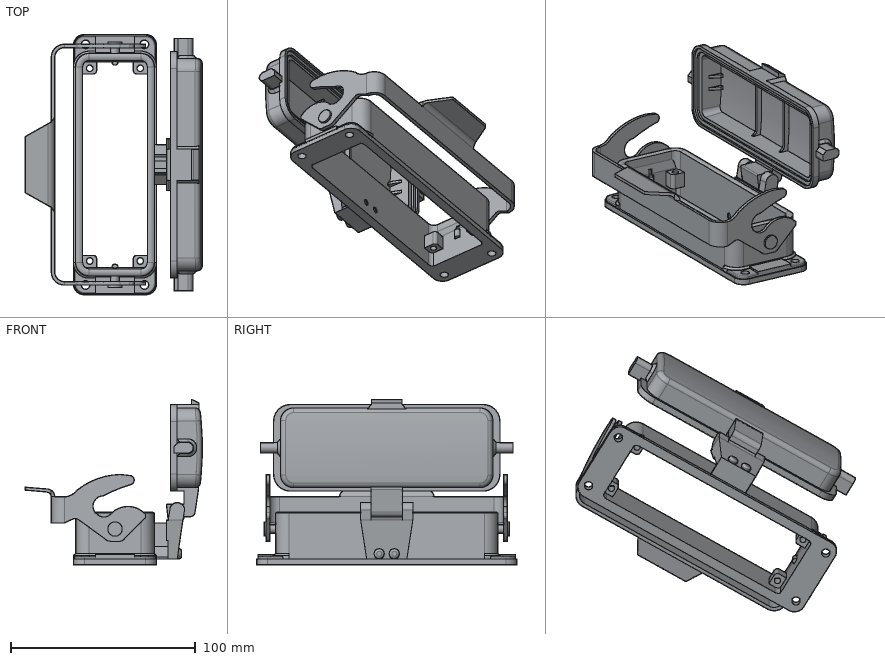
import cadquery as cq
PLATE_X, PLATE_Y, PLATE_TOP = 45.2, 141.1, 3.1
PLATE_RADIUS = 5.9
TIER_INSET, TIER_TOP, TIER_FILLET = 0.7, 4.8, 0.5
PAD_X, PAD_TOP = 21.2, 5.8
FOOT_HOLE_D, FOOT_HOLE_X, FOOT_HOLE_Y = 4.5, 16.0, 65.2
BODY_X, BODY_Y, BODY_TOP, BODY_RADIUS = 42.6, 120.5, 28.1, 7.3
WALL = 3.8
OPENING_X, OPENING_Y, OPENING_RADIUS = BODY_X - 2 * WALL, BODY_Y - 2 * WALL, BODY_RADIUS - WALL
RIM_RISE = 0.7
LINER_THICK, LINER_LOW, LINER_HIGH = 0.8, 18.0, 23.3
LINER_Y = OPENING_Y / 2 - LINER_THICK
FLARE, FLARE_TOP, COLLAR_LIP = 1.3, 6.2, 0.1
LUG_X, LUG_Y, LUG_BOTTOM, LUG_TOP, LUG_RADIUS = 7.6, 6.5, 9.0, 17.4, 2.0
LUG_HOLE_D, LUG_HOLE_X, LUG_HOLE_Y = 3.4, 13.7, 52.2
STUD_D, STUD_BOTTOM, STUD_TOP = 3.4, 12.0, 17.0
SLOT_WIDTH, SLOT_TOP, SLOT_DEPTH = 2.0, 20.5, 1.1

PIVOT_Z, PIVOT_D, PIVOT_HEAD_D, PIVOT_HEAD_HEIGHT = 19.5, 4.8, 7.8, 1.1
LEVER_SHEET = 2.0
LEVER_HALF_Y = 65.3
LEVER_FRONT_X = -34.5
LEVER_BEND_RADIUS = 7.2
STRIP_BOTTOM, STRIP_TOP = 22.7, 37.0
GRIP_TIP_X, GRIP_TIP_Z, GRIP_SHEET = -48.7, 42.2, 1.7
GRIP_TIP_HALF_Y, GRIP_SIDE_HALF_Y, GRIP_ROOT_HALF_Y, GRIP_CORNER = 15.2, 23.1, 25.7, 0.8

HINGE_X = 28.8
HINGE_HALF_Y, HINGE_FOOT_HALF_Y = 14.1, 10.9
HINGE_FOOT_DEPTH, HINGE_SHOULDER_X = 5.0, 36.8
HINGE_SHOULDER_Z, HINGE_TOP = 24.3, 33.9
KNUCKLE_INNER_Y = 8.5
KNUCKLE_X, KNUCKLE_R = 33.7, 4.0
BRIDGE_HALF_Y, BRIDGE_TOP, BRIDGE_TOP_HALF_Y = 5.5, 22.9, 4.2
BRIDGE_FLARE_TOP, BRIDGE_FLARE_BOTTOM, BRIDGE_GAP = 9.9, 4.4, 4.0
FACING_X, FACING_BOTTOM = 27.8, 13.3
SCREW_Y, SCREW_HEAD_Z, SCREW_HEAD_D, SCREW_END_X, SCREW_FILLET = 4.1, 6.0, 5.5, 36.1, 1.4
DIMPLE_D, DIMPLE_Z, DIMPLE_DEPTH = 3.2, 7.0, 0.7

COVER_X, COVER_Z = 30.0, 63.5
FLANGE_THICK, FLANGE_Y, FLANGE_Z, FLANGE_RADIUS = 3.7, 122.8, 47.0, 9.2
SHELL_Y, SHELL_Z, SHELL_RADIUS = 115.1, 43.2, 7.0
DOME_X, DOME_DROP = 47.4, 1.7
SHELL_EDGE_FILLET = 2.8
FLOOR_THICK = 3.1
CAVITY_Y, CAVITY_Z, CAVITY_RADIUS, CAVITY_DRAFT = 109.8, 36.1, 3.5, 3.0
SEAT_STEPS = ((1.5, 1.1), (3.7, 2.3))
RIB_Y, RIB_THICK, RIB_HEIGHT, RIB_LEG = 13.8, 1.5, 2.1, 5.6
RIB_SWEEP, RIB_CURVE_X, RIB_CURVE_Z = 4.2, 1.3, 2.0
WEDGE_Z, WEDGE_THICK, WEDGE_REACH, WEDGE_LENGTH, WEDGE_FLAT = 3.5, 1.7, 2.8, 8.5, 1.4
PEG_END_Y, PEG_Z, PEG_FRONT_X, PEG_BACK_X, PEG_CHAMFER = 68.5, 63.5, 32.0, 42.3, 2.1
PEG_R, PEG_BOSS_R, PEG_BOSS_END_Y = 2.8, 5.1, 59.3
TAB_HALF_Y, TAB_X, TAB_BACK_X, TAB_TOP = 8.3, 41.3, 45.6, 89.7
TAB_CREST, TAB_CREST_DROP, TAB_BACK_Z = 1.3, 0.4, 87.8
BAND_HALF_Y, BAND_SLOPE = 8.5, 1.8
ARM_X, ARM_BOTTOM, ARM_ROOT_Z = 37.4, 26.1, 42.2
BLOCK_TOP, BLOCK_BACK_Z, BLOCK_FILLET = 33.0, 26.8, 0.7
OVERLAP = 0.5

FLANGE_TOP = COVER_Z + FLANGE_Z / 2
FLANGE_BOTTOM = COVER_Z - FLANGE_Z / 2
SHELL_START = COVER_X + FLANGE_THICK
LEVER_INNER_Y = LEVER_HALF_Y - LEVER_SHEET
BEND_END_X = LEVER_FRONT_X + LEVER_BEND_RADIUS


def box(x0, x1, y0, y1, z0, z1):
    return cq.Workplane("XY").box(x1 - x0, y1 - y0, z1 - z0, centered=False).translate((x0, y0, z0))


def upright_block(length, width, radius, z0, z1):
    """Rounded rectangle centred on the Z axis, from z0 to z1."""
    return box(-length / 2, length / 2, -width / 2, width / 2, z0, z1).edges("|Z").fillet(radius)


def cover_block(width, height, radius, x0, x1):
    """Rounded rectangle about the cover centre line, from x0 to x1."""
    low, high = COVER_Z - height / 2, COVER_Z + height / 2
    return box(x0, x1, -width / 2, width / 2, low, high).edges("|X").fillet(radius)


def side_plate(sketch, y0, y1):
    """Extrude an XZ outline from y0 to y1."""
    return sketch.extrude(-(y1 - y0)).translate((0, y0, 0))


def both_ends(shape):
    return shape.union(shape.mirror("XZ"))


def make_rim():
    """Shallow arch swept along the middle of the wall top."""
    mid_x = (BODY_X - WALL) / 2
    path_width, path_length = BODY_X - WALL, BODY_Y - WALL
    path_block = upright_block(path_width, path_length, BODY_RADIUS - WALL / 2, 0, BODY_TOP)
    path = cq.Workplane(path_block.faces(">Z").wires().val())
    arch = (
        cq.Workplane("XZ")
        .moveTo(mid_x - WALL / 2, BODY_TOP)
        .threePointArc((mid_x, BODY_TOP + RIM_RISE), (mid_x + WALL / 2, BODY_TOP))
        .close()
    )
    return arch.sweep(path)


def make_liners():
    """Thicker lower stretch of each end wall with a sloped top."""
    wall_y = OPENING_Y / 2
    outline = (
        cq.Workplane("YZ", origin=(-OPENING_X / 2, 0, 0))
        .moveTo(wall_y + OVERLAP, 0)
        .lineTo(LINER_Y, 0)
        .lineTo(LINER_Y, LINER_LOW)
        .lineTo(wall_y, LINER_HIGH)
        .lineTo(wall_y + OVERLAP, LINER_HIGH)
        .close()
    )
    return both_ends(outline.extrude(OPENING_X))


def make_housing():
    tier_x, tier_y = PLATE_X - 2 * TIER_INSET, PLATE_Y - 2 * TIER_INSET
    body = upright_block(PLATE_X, PLATE_Y, PLATE_RADIUS, 0, PLATE_TOP)
    end_zones = both_ends(box(-PLATE_X / 2, PLATE_X / 2, BODY_Y / 2 - BODY_RADIUS, PLATE_Y / 2, 0, BODY_TOP))
    tier = upright_block(tier_x, tier_y, PLATE_RADIUS - TIER_INSET, 0, TIER_TOP)
    tier = tier.faces(">Z").edges().fillet(TIER_FILLET)
    body = body.union(upright_block(BODY_X, BODY_Y, BODY_RADIUS, 0, BODY_TOP))
    body = body.union(both_ends(box(-PAD_X / 2, PAD_X / 2, BODY_Y / 2 - 1.4, tier_y / 2, PLATE_TOP, PAD_TOP)))

    collar_x, collar_y = BODY_X + 2 * FLARE, BODY_Y + 2 * FLARE
    collar = upright_block(collar_x, collar_y, BODY_RADIUS + FLARE, PLATE_TOP, FLARE_TOP)
    collar = collar.faces(">Z").chamfer(FLARE - COLLAR_LIP)
    body = body.union(tier.union(collar).intersect(end_zones))

    body = body.cut(upright_block(OPENING_X, OPENING_Y, OPENING_RADIUS, 0, BODY_TOP))
    body = body.union(make_rim()).union(make_liners())
    holes = cq.Workplane("XY").rect(2 * FOOT_HOLE_X, 2 * FOOT_HOLE_Y, forConstruction=True).vertices()
    return body.cut(holes.circle(FOOT_HOLE_D / 2).extrude(BODY_TOP))


def make_lugs():
    """Screw lugs in the four inside corners and a stud in each end wall."""
    inner_x, inner_y = OPENING_X / 2, LINER_Y
    lug = box(inner_x - LUG_X, inner_x + OVERLAP, inner_y - LUG_Y, inner_y + OVERLAP, LUG_BOTTOM, LUG_TOP)
    lug = lug.edges("|Z and <X and <Y").fillet(LUG_RADIUS)
    hole = cq.Workplane("XY").center(LUG_HOLE_X, LUG_HOLE_Y).circle(LUG_HOLE_D / 2).extrude(BODY_TOP)
    lug = lug.cut(hole)
    pair = lug.union(lug.mirror("YZ"))
    stud = cq.Workplane("XY", origin=(0, inner_y, STUD_BOTTOM)).circle(STUD_D / 2)
    return both_ends(pair.union(stud.extrude(STUD_TOP - STUD_BOTTOM)))


def make_slots():
    inner_y = LINER_Y
    slot = box(-SLOT_WIDTH / 2, SLOT_WIDTH / 2, inner_y, inner_y + SLOT_DEPTH, STUD_TOP, SLOT_TOP)
    return both_ends(slot)


def make_lever():
    outline = (
        cq.Workplane("XZ")
        .moveTo(BEND_END_X, STRIP_TOP)
        .threePointArc((-24.0, 37.8), (-20.5, 40.6))
        .threePointArc((-9.7, 46.7), (2.8, 49.1))
        .lineTo(7.9, 48.5)
        .threePointArc((10.5, 45.7), (8.5, 43.5))
        .threePointArc((0.8, 40.8), (-6.3, 37.4))
        .threePointArc((-11.9, 31.7), (-9.3, 27.2))
        .threePointArc((-6.0, 26.0), (-2.8, 27.1))
        .threePointArc((7.8, 31.7), (15.5, 28.5))
        .threePointArc((16.6, 26.7), (15.8, 25.0))
        .lineTo(5.5, 14.7)
        .threePointArc((4.1, 13.3), (2.3, 12.8))
        .lineTo(-2.5, 12.8)
        .threePointArc((-4.2, 13.3), (-5.9, 14.5))
        .lineTo(-19.8, 24.5)
        .threePointArc((-21.2, 25.1), (-22.9, 24.8))
        .lineTo(BEND_END_X, STRIP_BOTTOM)
        .close()
    )
    lever = both_ends(side_plate(outline, LEVER_INNER_Y, LEVER_HALF_Y))

    def hoop(inset):
        half_y = LEVER_HALF_Y - inset
        ring = box(LEVER_FRONT_X + inset, 0, -half_y, half_y, STRIP_BOTTOM, STRIP_TOP)
        return ring.edges("|Z and <X").fillet(LEVER_BEND_RADIUS - inset)

    front = box(LEVER_FRONT_X, BEND_END_X, -LEVER_HALF_Y, LEVER_HALF_Y, STRIP_BOTTOM, STRIP_TOP)
    lever = lever.union(hoop(0).cut(hoop(LEVER_SHEET)).intersect(front))

    inner_y = BODY_Y / 2 - OVERLAP
    head_y = LEVER_HALF_Y + PIVOT_HEAD_HEIGHT
    circle = cq.Workplane("XZ").center(0, PIVOT_Z)
    pivot = side_plate(circle.circle(PIVOT_D / 2), inner_y, LEVER_HALF_Y)
    head = side_plate(circle.circle(PIVOT_HEAD_D / 2), LEVER_INNER_Y, head_y)
    return lever.union(both_ends(pivot.union(head)))


def make_grip():
    """Finger tab bent forward from the top of the lever strip, trimmed to a trapezoid."""
    back_x = LEVER_FRONT_X + LEVER_SHEET
    profile = (
        cq.Workplane("XZ")
        .moveTo(GRIP_TIP_X, GRIP_TIP_Z)
        .lineTo(-36.4, 41.2)
        .threePointArc((-33.7, 39.8), (back_x, STRIP_TOP))
        .lineTo(back_x, STRIP_TOP - OVERLAP)
        .lineTo(LEVER_FRONT_X, STRIP_TOP - OVERLAP)
        .lineTo(LEVER_FRONT_X, STRIP_TOP)
        .threePointArc((-35.4, 38.8), (-37.1, 39.5))
        .lineTo(GRIP_TIP_X, GRIP_TIP_Z - GRIP_SHEET)
        .close()
    )
    tab = side_plate(profile, -GRIP_ROOT_HALF_Y, GRIP_ROOT_HALF_Y)
    plan = (
        cq.Workplane("XY")
        .moveTo(back_x, -GRIP_ROOT_HALF_Y)
        .lineTo(LEVER_FRONT_X, -GRIP_SIDE_HALF_Y)
        .lineTo(GRIP_TIP_X, -GRIP_TIP_HALF_Y)
        .lineTo(GRIP_TIP_X, GRIP_TIP_HALF_Y)
        .lineTo(LEVER_FRONT_X, GRIP_SIDE_HALF_Y)
        .lineTo(back_x, GRIP_ROOT_HALF_Y)
        .close()
        .extrude(GRIP_TIP_Z)
    )
    return tab.intersect(plan.edges("|Z and <X").fillet(GRIP_CORNER))


def make_bracket():
    """Upright behind the body that carries the two hinge knuckles."""
    foot_x = HINGE_X + HINGE_FOOT_DEPTH
    plate = (
        cq.Workplane("XZ")
        .polyline([
            (HINGE_X, PLATE_TOP), (foot_x, PLATE_TOP),
            (HINGE_SHOULDER_X, HINGE_SHOULDER_Z), (HINGE_X, HINGE_SHOULDER_Z),
        ])
        .close()
    )
    plate = side_plate(plate, -HINGE_HALF_Y, HINGE_HALF_Y)
    facing = box(FACING_X, HINGE_X, -HINGE_HALF_Y, HINGE_HALF_Y, FACING_BOTTOM, HINGE_SHOULDER_Z)
    taper = (
        cq.Workplane("YZ")
        .polyline([
            (-HINGE_FOOT_HALF_Y, PLATE_TOP), (HINGE_FOOT_HALF_Y, PLATE_TOP),
            (HINGE_HALF_Y, HINGE_SHOULDER_Z), (-HINGE_HALF_Y, HINGE_SHOULDER_Z),
        ])
        .close()
        .extrude(DOME_X)
    )
    bracket = plate.union(facing).intersect(taper)

    knuckle_z = HINGE_TOP - KNUCKLE_R
    knuckle = (
        cq.Workplane("XZ")
        .moveTo(HINGE_X, HINGE_SHOULDER_Z)
        .lineTo(KNUCKLE_X - KNUCKLE_R, knuckle_z)
        .threePointArc((KNUCKLE_X, HINGE_TOP), (KNUCKLE_X + KNUCKLE_R, knuckle_z))
        .lineTo(HINGE_SHOULDER_X, HINGE_SHOULDER_Z)
        .close()
    )
    bracket = bracket.union(both_ends(side_plate(knuckle, KNUCKLE_INNER_Y, HINGE_HALF_Y)))

    web = (
        cq.Workplane("YZ", origin=(BODY_X / 2 - OVERLAP, 0, 0))
        .moveTo(-HINGE_FOOT_HALF_Y, PLATE_TOP)
        .lineTo(-HINGE_FOOT_HALF_Y, BRIDGE_FLARE_BOTTOM)
        .lineTo(-BRIDGE_HALF_Y, BRIDGE_FLARE_TOP)
        .lineTo(-BRIDGE_TOP_HALF_Y, BRIDGE_TOP)
        .lineTo(BRIDGE_TOP_HALF_Y, BRIDGE_TOP)
        .lineTo(BRIDGE_HALF_Y, BRIDGE_FLARE_TOP)
        .lineTo(HINGE_FOOT_HALF_Y, BRIDGE_FLARE_BOTTOM)
        .lineTo(HINGE_FOOT_HALF_Y, PLATE_TOP)
        .close()
        .extrude(HINGE_X - BODY_X / 2 + 2 * OVERLAP)
    )
    gap = box(BODY_X / 2 - OVERLAP, FACING_X, -BRIDGE_GAP / 2, BRIDGE_GAP / 2, BRIDGE_FLARE_TOP, BRIDGE_TOP)
    bracket = bracket.union(web.cut(gap))

    screw_points = [(-SCREW_Y, SCREW_HEAD_Z), (SCREW_Y, SCREW_HEAD_Z)]
    heads = cq.Workplane("YZ", origin=(HINGE_X, 0, 0)).pushPoints(screw_points)
    heads = heads.circle(SCREW_HEAD_D / 2).extrude(SCREW_END_X - HINGE_X)
    heads = heads.faces(">X").edges().fillet(SCREW_FILLET)
    return bracket.union(heads)


def dome(crown_x):
    """Solid filling everything in front of the crowned back surface."""
    half = FLANGE_Z / 2
    profile = (
        cq.Workplane("XZ")
        .moveTo(COVER_X, COVER_Z - half)
        .lineTo(crown_x - DOME_DROP, COVER_Z - half)
        .threePointArc((crown_x, COVER_Z), (crown_x - DOME_DROP, COVER_Z + half))
        .lineTo(COVER_X, COVER_Z + half)
        .close()
    )
    return side_plate(profile, -FLANGE_Y / 2, FLANGE_Y / 2)


def make_cover():
    shell = cover_block(SHELL_Y, SHELL_Z, SHELL_RADIUS, COVER_X, DOME_X + 1.4).intersect(dome(DOME_X))
    shell = shell.faces(">X").edges().fillet(SHELL_EDGE_FILLET)
    shell = shell.union(cover_block(FLANGE_Y, FLANGE_Z, FLANGE_RADIUS, COVER_X, SHELL_START))

    shell_top = COVER_Z + SHELL_Z / 2
    band = (
        cq.Workplane("YZ", origin=(COVER_X + FLANGE_THICK / 2, 0, 0))
        .polyline([
            (-BAND_HALF_Y - BAND_SLOPE, shell_top - OVERLAP), (BAND_HALF_Y + BAND_SLOPE, shell_top - OVERLAP),
            (BAND_HALF_Y, FLANGE_TOP), (-BAND_HALF_Y, FLANGE_TOP),
        ])
        .close()
        .extrude(TAB_BACK_X - COVER_X - FLANGE_THICK / 2)
    )
    tab = (
        cq.Workplane("XZ")
        .moveTo(TAB_X, shell_top - OVERLAP)
        .lineTo(TAB_X, TAB_TOP)
        .lineTo(TAB_X + TAB_CREST, TAB_TOP - TAB_CREST_DROP)
        .lineTo(TAB_BACK_X, TAB_BACK_Z)
        .lineTo(TAB_BACK_X, shell_top - OVERLAP)
        .close()
    )
    lower_band = box(
        SHELL_START - OVERLAP, ARM_X + OVERLAP, -BAND_HALF_Y, BAND_HALF_Y, FLANGE_BOTTOM, ARM_ROOT_Z
    )
    cover = shell.union(band).union(lower_band).union(side_plate(tab, -TAB_HALF_Y, TAB_HALF_Y))

    for inset, depth in SEAT_STEPS:
        width, height = FLANGE_Y - 2 * inset, FLANGE_Z - 2 * inset
        cover = cover.cut(cover_block(width, height, FLANGE_RADIUS - inset, COVER_X, COVER_X + depth))
    mouth = cq.Sketch().rect(CAVITY_Y, CAVITY_Z).vertices().fillet(CAVITY_RADIUS)
    cavity = cq.Workplane("YZ", origin=(COVER_X, 0, COVER_Z)).placeSketch(mouth)
    cavity = cavity.extrude(DOME_X - COVER_X, taper=CAVITY_DRAFT)
    return cover.cut(cavity.intersect(dome(DOME_X - FLOOR_THICK)))


def make_cover_ribs():
    floor_x = DOME_X - FLOOR_THICK
    buried_x = floor_x + FLOOR_THICK / 4 - DOME_DROP / 2
    half = CAVITY_Z / 2 + OVERLAP
    rib_x = floor_x - DOME_DROP / 2 - RIB_HEIGHT
    low, high = COVER_Z - half, COVER_Z + half
    outline = (
        cq.Workplane("XZ")
        .moveTo(buried_x, low)
        .lineTo(rib_x - RIB_LEG, low)
        .lineTo(rib_x - RIB_LEG, low + OVERLAP)
        .threePointArc((rib_x - RIB_CURVE_X, low + RIB_CURVE_Z), (rib_x, low + RIB_SWEEP))
        .lineTo(rib_x, high - RIB_SWEEP)
        .threePointArc((rib_x - RIB_CURVE_X, high - RIB_CURVE_Z), (rib_x - RIB_LEG, high - OVERLAP))
        .lineTo(rib_x - RIB_LEG, high)
        .lineTo(buried_x, high)
        .close()
    )
    ribs = both_ends(side_plate(outline, RIB_Y - RIB_THICK / 2, RIB_Y + RIB_THICK / 2))

    wall_y = CAVITY_Y / 2
    for z in (COVER_Z - WEDGE_Z, COVER_Z + WEDGE_Z):
        wedge = (
            cq.Workplane("XY", origin=(0, 0, z - WEDGE_THICK / 2))
            .moveTo(floor_x - WEDGE_LENGTH, wall_y)
            .lineTo(floor_x - WEDGE_FLAT, wall_y - WEDGE_REACH)
            .lineTo(floor_x + OVERLAP, wall_y - WEDGE_REACH)
            .lineTo(floor_x + OVERLAP, wall_y + OVERLAP)
            .lineTo(floor_x - WEDGE_LENGTH, wall_y + OVERLAP)
            .close()
            .extrude(WEDGE_THICK)
        )
        ribs = ribs.union(both_ends(wedge))
    return ribs


def make_pegs():
    """Locking peg on each end of the cover, standing on a sloped boss."""
    wall_y = SHELL_Y / 2 - OVERLAP
    round_x = PEG_BACK_X - PEG_R

    def round_backed_bar(front_x, radius, start_y, end_y):
        outline = (
            cq.Workplane("XZ")
            .moveTo(front_x, PEG_Z - radius)
            .lineTo(round_x, PEG_Z - radius)
            .threePointArc((round_x + radius, PEG_Z), (round_x, PEG_Z + radius))
            .lineTo(front_x, PEG_Z + radius)
            .close()
        )
        return side_plate(outline, start_y, end_y)

    peg = round_backed_bar(PEG_FRONT_X, PEG_R, PEG_BOSS_END_Y - OVERLAP, PEG_END_Y)
    peg = peg.edges("|Y and <X and >Z").chamfer(PEG_CHAMFER)
    boss = round_backed_bar(SHELL_START - OVERLAP, PEG_BOSS_R, wall_y, PEG_BOSS_END_Y)
    boss = boss.faces(">Y").edges().chamfer(PEG_BOSS_R - PEG_R - OVERLAP / 2)
    return both_ends(peg.union(boss))


def make_arm():
    """Cover arm reaching down to the hinge, with the block held between the knuckles."""
    arm = (
        cq.Workplane("XZ")
        .moveTo(ARM_X, ARM_ROOT_Z)
        .lineTo(ARM_X, ARM_BOTTOM)
        .lineTo(40.5, ARM_BOTTOM)
        .threePointArc((42.5, 26.8), (43.5, 28.8))
        .lineTo(45.3, 40.9)
        .lineTo(45.3, ARM_ROOT_Z)
        .close()
    )
    block = (
        cq.Workplane("XZ")
        .moveTo(FACING_X, BLOCK_TOP)
        .lineTo(ARM_X + OVERLAP, BLOCK_TOP)
        .lineTo(ARM_X + OVERLAP, BLOCK_BACK_Z)
        .lineTo(HINGE_SHOULDER_X, HINGE_SHOULDER_Z)
        .lineTo(HINGE_X, HINGE_SHOULDER_Z)
        .close()
    )
    block = side_plate(block, -KNUCKLE_INNER_Y, KNUCKLE_INNER_Y)
    block = block.edges("|Y and <X and >Z").fillet(BLOCK_FILLET)
    return side_plate(arm, -KNUCKLE_INNER_Y, KNUCKLE_INNER_Y).union(block)


def make_dimples():
    wall = cq.Workplane("YZ", origin=(OPENING_X / 2, 0, 0))
    dimples = wall.pushPoints([(-SCREW_Y, DIMPLE_Z), (SCREW_Y, DIMPLE_Z)])
    return dimples.circle(DIMPLE_D / 2).extrude(DIMPLE_DEPTH)


result = make_housing().union(make_lugs()).cut(make_slots())
result = result.union(make_lever()).union(make_grip())
result = result.union(make_bracket()).union(make_arm())
result = result.union(make_cover()).union(make_cover_ribs()).union(make_pegs())
result = result.cut(make_dimples())